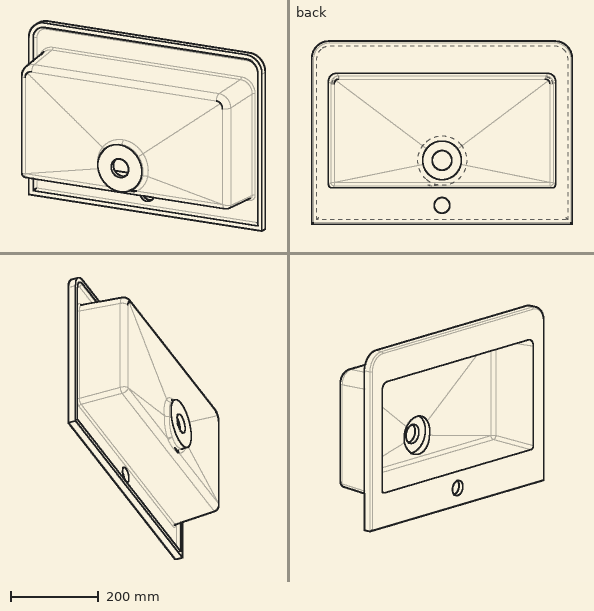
import cadquery as cq
import math


rim_width = 593.1
rim_height = 416.9
rim_depth = 20.0
rim_corner_radius = 40.0
rim_edge_radius = 4.0
lip_width = 11.0
deck_thickness = 12.0
deck_fillet = 5.5
rim_bottom = -rim_height / 2

bowl_half_width = 270.3
bowl_bottom = rim_bottom + 70.6
bowl_top = rim_bottom + 355.2
bowl_draft = 2.7
bowl_depth = 130.0
bowl_upper_radius = 30.0
bowl_lower_radius = 10.0
bowl_floor_fillet = 14.0
bowl_deck_fillet = 5.0
floor_fall = 8.0

wall = 12.0
cavity_lower_radius = 8.0
cavity_floor_fillet = 8.0

drain_z = rim_bottom + 145.3
drain_radius = 56.0
drain_end = 150.0
drain_neck_fillet = 9.0
drain_hole_radius = 22.0
tap_hole_z = rim_bottom + 42.9
tap_hole_radius = 17.5

near = 0.1


def plane_at(depth):
    """Workplane at a depth below the deck's upper face, facing -Y, with local x = X and y = Z."""
    return cq.Workplane("XZ", origin=(0, -depth, 0))


def disc(radius, z, start, end):
    """Cylinder along Y between two depths."""
    return plane_at(start).center(0, z).circle(radius).extrude(end - start)


def depth_band(start, end, low=-rim_height, high=rim_height):
    """Selector for edges centred between two depths and two heights."""
    return cq.selectors.BoxSelector((-rim_width, -end, low), (rim_width, -start, high))


def floor_pyramid(half_width, bottom, top, depth):
    """Pyramid with its tip below the drain and its base at Y = 0.

    Its four sides pass through the floor rectangle at the given depth.
    """
    tip_depth = depth + floor_fall
    reach = tip_depth / floor_fall
    side = reach * half_width
    low = drain_z + reach * (bottom - drain_z)
    high = drain_z + reach * (top - drain_z)
    tip = cq.Vector(0, -tip_depth, drain_z)
    corners = [cq.Vector(x, 0, z) for x, z in ((-side, low), (side, low), (side, high), (-side, high))]
    outlines = [corners]
    for i, corner in enumerate(corners):
        outlines.append([corners[i - 1], corner, tip])
    faces = [cq.Face.makeFromWires(cq.Wire.makePolygon(points, close=True)) for points in outlines]
    return cq.Workplane(cq.Solid.makeSolid(cq.Shell.makeShell(faces)))


def tapered_bowl(inset, depth, upper_radius, lower_radius, floor_fillet):
    """Solid bowl with drafted walls, rounded corners and a floor falling to the drain."""
    half_width = bowl_half_width - inset
    bottom = bowl_bottom + inset
    top = bowl_top - inset
    middle = (bottom + top) / 2
    body = plane_at(0).center(0, middle).rect(2 * half_width, top - bottom)
    body = body.extrude(depth, taper=bowl_draft)
    corner_band = (depth * 0.4, depth * 0.6)
    body = body.edges(depth_band(*corner_band, low=top - upper_radius)).fillet(upper_radius)
    body = body.edges(depth_band(*corner_band, high=bottom + lower_radius)).fillet(lower_radius)
    body = body.faces("<Y").edges().fillet(floor_fillet)

    draft = math.radians(bowl_draft)
    floor_inset = depth * math.tan(draft) + floor_fillet * math.tan((math.pi / 2 - draft) / 2)
    pyramid = floor_pyramid(half_width - floor_inset, bottom + floor_inset, top - floor_inset, depth)
    fall = body.faces("<Y").wires().toPending().workplane().extrude(floor_fall, combine=False)
    return body.union(fall.intersect(pyramid))


def rim_plate(inset, start, end):
    """Slab with rounded upper corners and square lower corners, shrunk on all sides by an inset."""
    width = rim_width - 2 * inset
    height = rim_height - 2 * inset
    slab = plane_at(start).rect(width, height).extrude(end - start)
    return slab.edges("|Y").edges(">Z").fillet(rim_corner_radius - inset)


def make_rim():
    """Deck with a downturned lip along its edge."""
    rim = rim_plate(0, 0, rim_depth).faces(">Y").edges().fillet(rim_edge_radius)
    recess = rim_plate(lip_width, deck_thickness, rim_depth)
    recess = recess.faces(">Y").edges().fillet(deck_fillet)
    return rim.cut(recess)


def make_bowl():
    """Solid bowl carrying the round drain boss, with a rounded neck between them."""
    bowl = tapered_bowl(0, bowl_depth, bowl_upper_radius, bowl_lower_radius, bowl_floor_fillet)
    boss = disc(drain_radius, drain_z, bowl_depth - bowl_floor_fillet, drain_end)
    boss = boss.rotate((0, 0, drain_z), (0, 1, drain_z), -90)
    joined = bowl.union(boss)
    reach = drain_radius + 1
    around_boss = cq.selectors.BoxSelector(
        (-reach, 1 - drain_end, drain_z - reach),
        (reach, bowl_floor_fillet - bowl_depth, drain_z + reach),
        boundingbox=True,
    )
    return joined.edges(around_boss).edges("not %LINE").fillet(drain_neck_fillet)


def make_cavity():
    """Space inside the bowl, with a round recess above the drain hole."""
    depth = bowl_depth - wall
    cavity = tapered_bowl(wall, depth, bowl_upper_radius - wall, cavity_lower_radius, cavity_floor_fillet)
    recess = disc(drain_radius - wall, drain_z, depth, drain_end - wall)
    return cavity.union(recess)


def hollow(solid, cavity):
    """Open a cavity through the flat upper face of a solid.

    The cavity touches no other face, so the walls of both are joined by one new upper face.
    """
    upper_outline = solid.faces(">Y").val().outerWire()
    cavity_outline = cavity.faces(">Y").val().outerWire()
    upper_face = cq.Face.makeFromWires(upper_outline, [cavity_outline])
    walls = solid.faces("not >Y").vals() + cavity.faces("not >Y").vals()
    return cq.Workplane(cq.Solid.makeSolid(cq.Shell.makeShell(walls + [upper_face])))


def make_sink():
    """Rim and bowl joined, hollowed and pierced."""
    sink = make_rim().union(make_bowl())
    bowl_outline = cq.selectors.BoxSelector(
        (-bowl_half_width, -deck_thickness - near, bowl_bottom),
        (bowl_half_width, -deck_thickness + near, bowl_top),
        boundingbox=True,
    )
    sink = sink.edges(bowl_outline).fillet(bowl_deck_fillet)
    sink = hollow(sink, make_cavity())
    sink = sink.cut(disc(drain_hole_radius, drain_z, bowl_depth, drain_end))
    return sink.cut(disc(tap_hole_radius, tap_hole_z, 0, rim_depth))


result = make_sink()